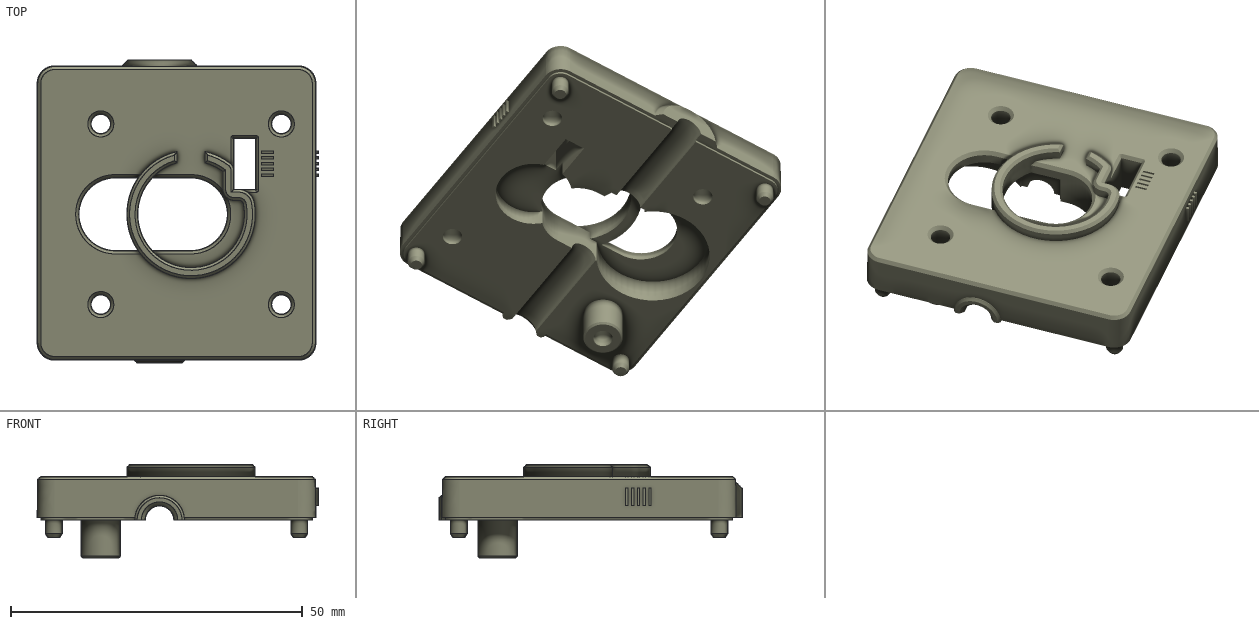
import cadquery as cq
import math

body_x = 47.8
body_y = 50.45
body_top = 7.5
corner_radius = 3.0
edge_chamfer = 0.5
chamfer_angle = 45
wall_draft = 0.8
lip_height = 0.4
lip_inset = 0.6
plate_floor = 5.2

centre_x = 2.5
centre_y = -0.2

screw_pitch = 31.0
screw_radius = 1.65
screw_chamfer = 0.55
post_radius = 3.4
post_length = 6.5
post_chamfer = 0.3

pin_pitch_x = 42.1
pin_pitch_y = 44.7
pin_radius = 1.45
pin_length = 3.0
pin_tip_height = 0.75
pin_tip_inset = 0.45

slot_radius = 6.25
slot_run = 13.0
slot_chamfer = 0.55
window_left, window_right = 9.8, 13.55
window_bottom, window_top = 4.05, 12.8
window_chamfer = 0.5
window_corner_radius = 0.5

ring_radius = 11.0
ring_wall = 1.85
ring_height = 2.05
ring_gap = 4.8
ring_chamfer = 0.45
ring_bend_radius = 2.7
ring_shoulder_radius = 1.55

bore_x = -2.9
bore_radius = 2.45
bore_mouth_radius = 3.1
front_collar_radius = 4.25
front_collar_length = 0.45
front_collar_chamfer = 0.4
back_collar_radius = 5.4
back_collar_length = 1.05

cavity_radius = 9.7
relief_width = 8.1
relief_depth = 1.35
relief_inset = 0.6
pocket_x = 11.55
pocket_radius = 6.55
pocket_height = 3.2

mark_count = 5
mark_pitch = 1.0
mark_width = 0.4
mark_centre_y = 8.45
groove_left, groove_right = 14.6, 16.65
groove_depth = 0.3
rib_bottom, rib_top = 2.5, 5.5
rib_height = 0.4

wall_x = body_x / 2
rib_root_x = wall_x - rib_height
front_y = -body_y / 2
back_y = body_y / 2
screw_points = [
    (centre_x + sx * screw_pitch / 2, centre_y + sy * screw_pitch / 2)
    for sx in (-1, 1)
    for sy in (-1, 1)
]
post_point = screw_points[0]
first_mark_y = mark_centre_y - (mark_count - 1) / 2 * mark_pitch
mark_ys = [first_mark_y + i * mark_pitch for i in range(mark_count)]


def box(x0, x1, y0, y1, z0, z1):
    return cq.Workplane("XY").box(x1 - x0, y1 - y0, z1 - z0, centered=False).translate((x0, y0, z0))


def cone_along_y(x, y0, y1, r0, r1):
    """Cone about the line z = 0, from radius r0 at y0 to r1 at y1."""
    height = y1 - y0
    profile = [(0, 0), (r0, 0), (r1, height), (0, height)]
    return (
        cq.Workplane("XY").polyline(profile).close()
        .revolve(360, (0, 0, 0), (0, 1, 0))
        .translate((x, y0, 0))
    )


def above(solid, z):
    """The part of the solid above height z."""
    return solid.intersect(box(-body_x, body_x, -body_y, body_y, z, body_top))


def make_body():
    lip = (
        cq.Workplane("XY")
        .rect(body_x - 2 * lip_inset, body_y - 2 * lip_inset)
        .extrude(lip_height)
        .edges("|Z").fillet(corner_radius - lip_inset)
    )
    block = (
        cq.Workplane("XY", origin=(0, 0, lip_height))
        .sketch().rect(body_x, body_y).vertices().fillet(corner_radius).finalize()
        .extrude(body_top - lip_height, taper=wall_draft)
        .faces(">Z").edges().chamfer(edge_chamfer)
    )
    return block.union(lip)


def make_collars():
    tip_y = front_y - front_collar_length
    chamfer_y = tip_y + front_collar_chamfer
    front = cone_along_y(bore_x, tip_y, chamfer_y, front_collar_radius - front_collar_chamfer,
                         front_collar_radius)
    front = front.union(cone_along_y(bore_x, chamfer_y, front_y + lip_inset,
                                     front_collar_radius, front_collar_radius))
    root_y = back_y - corner_radius
    tip_y = back_y + back_collar_length
    root_radius = back_collar_radius + tip_y - root_y
    back = cone_along_y(bore_x, root_y, tip_y, root_radius, back_collar_radius)
    back = back.intersect(box(-body_x, body_x, back_y - lip_inset, tip_y, lip_height, body_top))
    return above(front, 0).union(back)


def make_bore():
    mouth_y = front_y - front_collar_length
    mouth_depth = bore_mouth_radius - bore_radius
    end_y = back_y + back_collar_length
    mouth = cone_along_y(bore_x, mouth_y, mouth_y + mouth_depth, bore_mouth_radius, bore_radius)
    return mouth.union(cone_along_y(bore_x, mouth_y, end_y, bore_radius, bore_radius))


def make_post():
    return (
        cq.Workplane("XY").center(*post_point).circle(post_radius).extrude(-post_length)
        .faces("<Z").edges().chamfer(post_chamfer)
    )


def make_pins():
    return (
        cq.Workplane("XY").rect(pin_pitch_x, pin_pitch_y, forConstruction=True).vertices()
        .circle(pin_radius).extrude(-pin_length)
        .faces("<Z").edges().chamfer(pin_tip_height, pin_tip_inset)
    )


def make_screw_holes():
    depth = body_top + post_length
    holes = cq.Workplane("XY", origin=(0, 0, -post_length)).pushPoints(screw_points)
    mouths = cq.Workplane("XY", origin=(0, 0, body_top)).pushPoints(screw_points)
    cones = mouths.circle(screw_radius + screw_chamfer).extrude(-screw_chamfer, taper=chamfer_angle)
    return holes.circle(screw_radius).extrude(depth).union(cones)


def make_slot():
    length = slot_run + 2 * slot_radius
    slot_x = centre_x - slot_run / 2
    straight = cq.Workplane("XY").slot2D(length, 2 * slot_radius).extrude(body_top)
    mouth = (
        cq.Workplane("XY", origin=(0, 0, body_top))
        .slot2D(length + 2 * slot_chamfer, 2 * (slot_radius + slot_chamfer))
        .extrude(-slot_chamfer, taper=chamfer_angle)
    )
    return straight.union(mouth).translate((slot_x, centre_y, 0))


def make_window():
    hole = box(window_left, window_right, window_bottom, window_top, 0, body_top)
    mouth = (
        cq.Workplane("XY", origin=(0, 0, body_top))
        .sketch()
        .rect(window_right - window_left + 2 * window_chamfer,
              window_top - window_bottom + 2 * window_chamfer)
        .vertices().fillet(window_corner_radius).finalize()
        .extrude(-window_chamfer, taper=chamfer_angle)
        .translate(((window_left + window_right) / 2, (window_bottom + window_top) / 2, 0))
    )
    return hole.union(mouth)


def make_relief():
    """Pocket in the slot's +Y wall, narrowing towards its back."""
    wall_y = centre_y + slot_radius
    back = wall_y + relief_depth
    half = relief_width / 2
    back_half = half - relief_inset
    outline = [
        (-half, centre_y), (half, centre_y), (half, wall_y),
        (back_half, back), (-back_half, back), (-half, wall_y),
    ]
    return cq.Workplane("XY").polyline(outline).close().extrude(plate_floor).translate((bore_x, 0, 0))


def round_pocket(x, radius, height):
    """Round pocket on the slot's axis, open at the underside."""
    return cq.Workplane("XY").center(x, centre_y).circle(radius).extrude(height)


def make_ring():
    height = body_top + ring_height - plate_floor
    disc = cq.Workplane("XY").circle(ring_radius).extrude(height)
    disc = disc.translate((centre_x, centre_y, plate_floor))
    ring_right = centre_x + ring_radius
    ring_top = body_top + ring_height
    notch = box(window_left, ring_right, window_bottom, window_top, plate_floor, ring_top)
    outline = disc.cut(notch)
    outline = outline.edges("|Z").edges(">X").fillet(ring_bend_radius)
    shoulder_y = centre_y + math.sqrt(ring_radius**2 - (window_left - centre_x) ** 2)
    shoulder = cq.selectors.NearestToPointSelector((window_left, shoulder_y, plate_floor + height / 2))
    outline = outline.edges("|Z").edges(shoulder).fillet(ring_shoulder_radius)
    core = outline.faces("<Z").wires().toPending().offset2D(-ring_wall).extrude(height, combine=False)
    half_gap = ring_gap / 2
    gap = box(centre_x - half_gap, centre_x + half_gap, centre_y, ring_right, plate_floor, ring_top)
    return outline.cut(core).cut(gap).faces(">Z").edges().chamfer(ring_chamfer)


solid = make_body().union(make_collars()).union(make_post()).union(make_pins())
openings = [
    make_bore(),
    make_screw_holes(),
    make_slot(),
    make_window(),
    make_relief(),
    round_pocket(centre_x - screw_pitch / 2, cavity_radius, plate_floor),
    round_pocket(pocket_x, pocket_radius, pocket_height),
]
for opening in openings:
    solid = solid.cut(opening)
for y in mark_ys:
    y0 = y - mark_width / 2
    y1 = y + mark_width / 2
    solid = solid.cut(box(groove_left, groove_right, y0, y1, body_top - groove_depth, body_top))
    solid = solid.union(box(rib_root_x, wall_x + rib_height, y0, y1, rib_bottom, rib_top))

result = solid.union(make_ring())